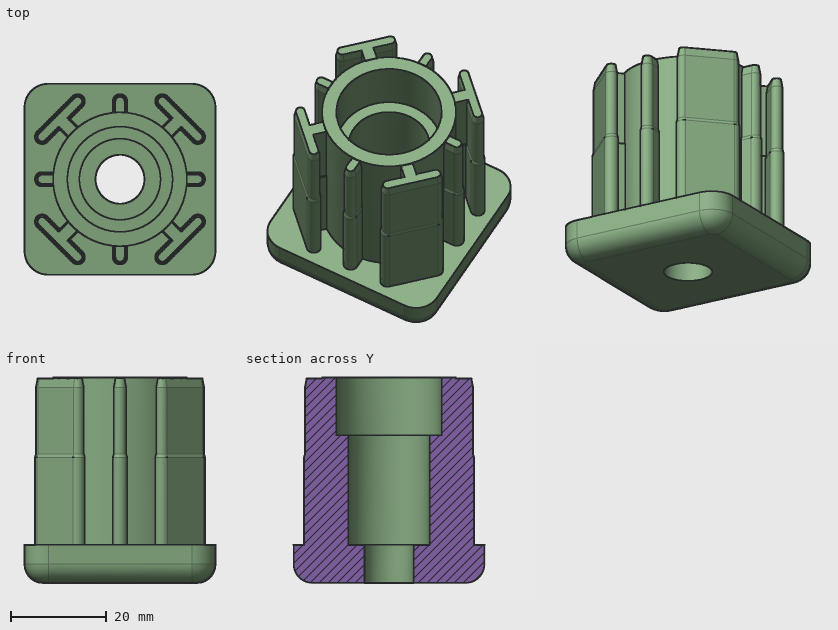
import cadquery as cq
import math

plate_size = 40.0
plate_thickness = 8.0
plate_corner_radius = 5.0
plate_bottom_fillet = 4.0

total_height = 43.0
tube_diameter = 28.0
mouth_diameter = 22.0
mouth_depth = 12.05
bore_diameter = 17.0
hole_diameter = 10.2

rib_width = 3.0
rib_reach = 17.8
rib_top = total_height - 0.17
shoulder_bottom = 26.3
shoulder_top = 27.0
shoulder_inset = 0.2
tip_bottom = 41.0
tip_inset = 0.35

end_round_far = rib_reach - rib_width / 2
end_round_near = 8.85
crossbar_length = (end_round_far - end_round_near) * math.sqrt(2) + rib_width
crossbar_distance = (end_round_far + end_round_near) / math.sqrt(2)


def slot_layer(length, inset, z_bottom, z_top, top_inset=0.0):
    """Round-ended bar along X, shrunk by inset, whose sides lean in by top_inset over its height."""
    height = z_top - z_bottom
    lean = math.degrees(math.atan(top_inset / height))
    return (
        cq.Workplane("XY", origin=(0, 0, z_bottom))
        .slot2D(length - 2 * inset, rib_width - 2 * inset)
        .extrude(height, taper=lean)
    )


def stepped_bar(length):
    """Full-height bar along X with its shoulder and tapered tip."""
    lower = slot_layer(length, 0.0, plate_thickness, shoulder_bottom)
    shoulder = slot_layer(length, 0.0, shoulder_bottom, shoulder_top, shoulder_inset)
    upper = slot_layer(length, shoulder_inset, shoulder_top, tip_bottom)
    tip = slot_layer(length, shoulder_inset, tip_bottom, rib_top, tip_inset)
    return lower.union(shoulder).union(upper).union(tip)


def web_layer(width, z_bottom, z_top):
    """Plain wall along X that joins two opposite crossbars through the axis."""
    return (
        cq.Workplane("XY", origin=(0, 0, z_bottom))
        .rect(2 * crossbar_distance, width)
        .extrude(z_top - z_bottom)
    )


plate = (
    cq.Workplane("XY")
    .rect(plate_size, plate_size)
    .extrude(plate_thickness)
    .edges("|Z")
    .fillet(plate_corner_radius)
    .faces("<Z")
    .edges()
    .fillet(plate_bottom_fillet)
)

tube = (
    cq.Workplane("XY", origin=(0, 0, plate_thickness))
    .circle(tube_diameter / 2)
    .extrude(total_height - plate_thickness)
)

body = plate.union(tube)

straight_pair = stepped_bar(2 * rib_reach)
for angle in (0, 90):
    body = body.union(straight_pair.rotate((0, 0, 0), (0, 0, 1), angle))

web_lower = web_layer(rib_width, plate_thickness, shoulder_top)
web_upper = web_layer(rib_width - 2 * shoulder_inset, shoulder_top, rib_top)
web_pair = web_lower.union(web_upper)
for angle in (45, 135):
    body = body.union(web_pair.rotate((0, 0, 0), (0, 0, 1), angle))

crossbar = (
    stepped_bar(crossbar_length)
    .rotate((0, 0, 0), (0, 0, 1), 90)
    .translate((crossbar_distance, 0, 0))
)
for angle in (45, 135, 225, 315):
    body = body.union(crossbar.rotate((0, 0, 0), (0, 0, 1), angle))

mouth_floor = total_height - mouth_depth
for diameter, floor in (
    (mouth_diameter, mouth_floor),
    (bore_diameter, plate_thickness),
    (hole_diameter, 0.0),
):
    cutter = (
        cq.Workplane("XY", origin=(0, 0, floor))
        .circle(diameter / 2)
        .extrude(total_height - floor)
    )
    body = body.cut(cutter)

result = body